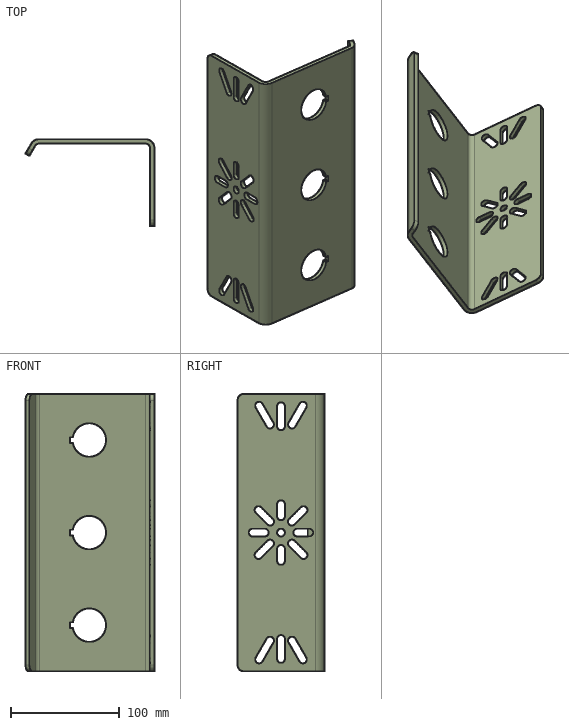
import cadquery as cq
import math

width = 118.64
depth = 80.0
height = 255.0

thickness = 4.25
inner_radius = thickness
bend_radius = inner_radius + thickness
lip_angle = 60.0
lip_length = 10.6
corner_radius = 6.0

left_x = -width / 2
right_x = width / 2
front_y = -depth / 2
back_y = depth / 2

keyhole_diameter = 30.5
keyhole_x = -0.65
keyhole_count = 3
keyhole_pitch = height / keyhole_count
key_width = 5.0
key_reach = 17.7

slot_width = 7.0
centre_hole_diameter = slot_width
star_count = 8
straight_slot_ends = (15.0, 26.0)
diagonal_slot_ends = (14.2, 29.2)
fan_angle = 30.0
fan_origin_z = height / 2 - 45.8
fan_middle_ends = (16.0, 34.3)
fan_side_ends = (20.2, 40.2)

cut_reach = 2 * thickness


def bent_sheet():
    """Panel with a square flange on one side and an angled lip on the other."""
    turn = math.radians(lip_angle)
    lip_reach = bend_radius * math.sin(turn) + lip_length * math.cos(turn)
    bend_y = back_y - bend_radius
    flange_bend_x = right_x - bend_radius
    lip_bend_x = left_x + lip_reach

    def lip_bend_point(radius, angle):
        return (lip_bend_x - radius * math.sin(angle), bend_y + radius * math.cos(angle))

    def lip_end(radius):
        x, y = lip_bend_point(radius, turn)
        return (x - lip_length * math.cos(turn), y - lip_length * math.sin(turn))

    def flange_bend_point(radius, angle):
        return (flange_bend_x + radius * math.sin(angle), bend_y + radius * math.cos(angle))

    square = math.pi / 2
    profile = (
        cq.Workplane("XY", origin=(0, 0, -height / 2))
        .moveTo(*lip_end(bend_radius))
        .lineTo(*lip_bend_point(bend_radius, turn))
        .threePointArc(lip_bend_point(bend_radius, turn / 2), lip_bend_point(bend_radius, 0))
        .lineTo(flange_bend_x, back_y)
        .threePointArc(
            flange_bend_point(bend_radius, square / 2), flange_bend_point(bend_radius, square)
        )
        .lineTo(right_x, front_y)
        .lineTo(right_x - thickness, front_y)
        .lineTo(*flange_bend_point(inner_radius, square))
        .threePointArc(
            flange_bend_point(inner_radius, square / 2), flange_bend_point(inner_radius, 0)
        )
        .lineTo(*lip_bend_point(inner_radius, 0))
        .threePointArc(lip_bend_point(inner_radius, turn / 2), lip_bend_point(inner_radius, turn))
        .lineTo(*lip_end(inner_radius))
        .close()
    )
    return profile.extrude(height)


def round_free_corners(sheet):
    """Round the four outer corners: two on the flange edge, two on the lip edge."""
    flange_corners = sheet.faces("<Y").edges("|X")
    sheet = flange_corners.fillet(corner_radius)
    turn = math.radians(lip_angle)
    lip_direction = cq.Vector(-math.cos(turn), -math.sin(turn), 0)
    lip_edge = sheet.faces(cq.selectors.DirectionMinMaxSelector(lip_direction))
    lip_corners = lip_edge.edges("<Z or >Z")
    return lip_corners.fillet(corner_radius)


def keyhole(centre_z):
    """Round hole with a key notch on the lip side."""
    panel = cq.Workplane("XZ", origin=(keyhole_x, back_y, centre_z))
    bore = panel.circle(keyhole_diameter / 2).extrude(cut_reach, both=True)
    notch = panel.center(-key_reach / 2, 0).rect(key_reach, key_width).extrude(cut_reach, both=True)
    return bore.union(notch)


def radial_slot(origin_z, angle, ends):
    """Slot through the flange, lying on a ray from (0, origin_z); angle from +Y toward +Z."""
    inner_end, outer_end = ends
    return (
        cq.Workplane("YZ", origin=(right_x, 0, origin_z))
        .transformed(rotate=(0, 0, angle))
        .center((inner_end + outer_end) / 2, 0)
        .slot2D(outer_end - inner_end + slot_width, slot_width)
        .extrude(cut_reach, both=True)
    )


def star_cutters():
    """Centre hole ringed by alternating straight and diagonal slots."""
    centre = cq.Workplane("YZ", origin=(right_x, 0, 0))
    cutters = [centre.circle(centre_hole_diameter / 2).extrude(cut_reach, both=True)]
    for index in range(star_count):
        ends = diagonal_slot_ends if index % 2 else straight_slot_ends
        cutters.append(radial_slot(0, index * 360 / star_count, ends))
    return cutters


def fan_cutters(side):
    """Three slots spreading toward the top (side = 1) or bottom (side = -1) edge."""
    origin_z = side * fan_origin_z
    middle_angle = side * 90
    return [
        radial_slot(origin_z, middle_angle - fan_angle, fan_side_ends),
        radial_slot(origin_z, middle_angle, fan_middle_ends),
        radial_slot(origin_z, middle_angle + fan_angle, fan_side_ends),
    ]


part = round_free_corners(bent_sheet())

middle_row = (keyhole_count - 1) / 2
for row in range(keyhole_count):
    part = part.cut(keyhole((row - middle_row) * keyhole_pitch))

for cutter in star_cutters() + fan_cutters(1) + fan_cutters(-1):
    part = part.cut(cutter)

result = part